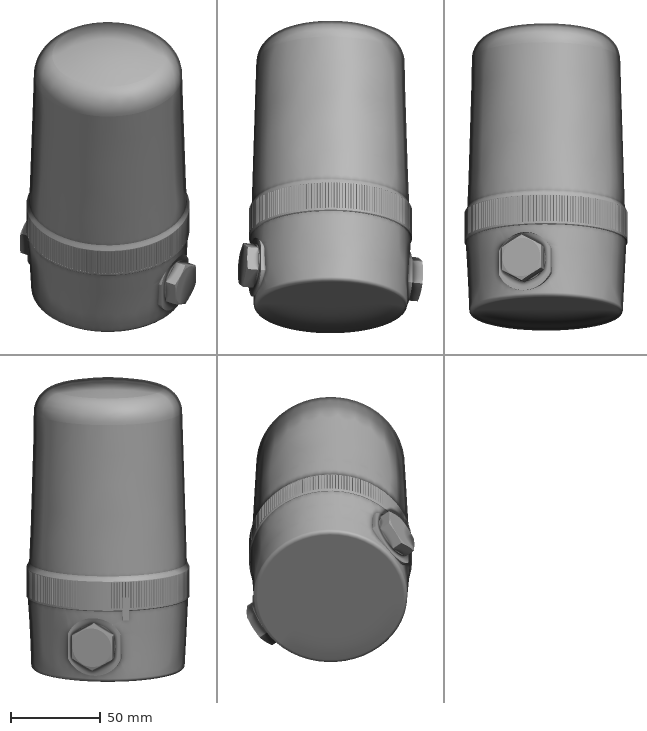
import cadquery as cq
import math

base_bottom_radius = 43.1
base_top_radius = 45.1
base_edge_round = 2.1

ring_bottom = 41.0
ring_shoulder = 58.0
ring_top = 60.8
ring_diameter = 91.7
ring_radius = ring_diameter / 2
ring_edge = 0.5

total_height = 164.0
dome_bottom_radius = 44.3
shoulder_bottom = 146.8
shoulder_bottom_radius = 41.7
cap_edge_height = 160.0
cap_edge_radius = 31.3

groove_count = 168
groove_bottom = 42.6
groove_top = 57.7
groove_depth = 0.5
groove_width = 0.5
groove_overcut = 0.05
smooth_half_angle = 12.5

mark_angle = 202.8
mark_bottom = 35.7
mark_top = 48.9
mark_width = 3.6
mark_radius = 45.9
mark_inner_radius = 41.0

entry_turns = (0, 180)
plug_height = 21.2
seat_height = 20.3
seat_diameter = 33.1
seat_width = 30.0
seat_x = 43.6
seat_root_x = 36.0
collar_diameter = 24.5
plug_inner_x = 44.5
plug_outer_x = 50.8
plug_sides = 6
plug_across_flats = 22.8
plug_face_diameter = 22.0
plug_chamfer_length = 0.5
seat_relief_length = 8.2


def make_body():
    cap_sag = total_height - cap_edge_height
    cap_radius = (cap_edge_radius**2 + cap_sag**2) / (2 * cap_sag)
    half_cap_angle = math.asin(cap_edge_radius / cap_radius) / 2
    cap_mid = (
        cap_radius * math.sin(half_cap_angle),
        total_height - cap_radius * (1 - math.cos(half_cap_angle)),
    )
    profile = (
        cq.Workplane("XZ")
        .lineTo(base_bottom_radius - base_edge_round, 0)
        .radiusArc((base_bottom_radius, base_edge_round), -base_edge_round)
        .lineTo(base_top_radius, ring_bottom)
        .lineTo(ring_radius - ring_edge, ring_bottom)
        .lineTo(ring_radius, ring_bottom + ring_edge)
        .lineTo(ring_radius, ring_shoulder)
        .lineTo(dome_bottom_radius, ring_top)
        .lineTo(shoulder_bottom_radius, shoulder_bottom)
        .tangentArcPoint((cap_edge_radius, cap_edge_height), relative=False)
        .threePointArc(cap_mid, (0, total_height))
        .close()
    )
    return profile.revolve(360, (0, 0, 0), (0, 1, 0))


def make_grooves():
    half_angle = math.degrees(groove_width / 2 / ring_radius)
    mouth_radius = ring_radius + groove_overcut
    grooves = cq.Workplane("XY").workplane(offset=groove_bottom)

    def on_circle(radius, degrees):
        angle = math.radians(degrees)
        return (radius * math.cos(angle), radius * math.sin(angle))

    groove_pitch = (360 - 2 * smooth_half_angle) / (groove_count - 1)
    first_angle = smooth_half_angle - 180
    for index in range(groove_count):
        angle = first_angle + index * groove_pitch
        corners = [
            on_circle(mouth_radius, angle - half_angle),
            on_circle(ring_radius - groove_depth, angle),
            on_circle(mouth_radius, angle + half_angle),
        ]
        grooves = grooves.polyline(corners).close()
    return grooves.extrude(groove_top - groove_bottom)


def make_index_mark():
    return (
        cq.Workplane("XY")
        .box(
            mark_radius - mark_inner_radius,
            mark_width,
            mark_top - mark_bottom,
            centered=(False, True, False),
        )
        .translate((mark_inner_radius, 0, mark_bottom))
        .rotate((0, 0, 0), (0, 0, 1), mark_angle)
    )


def entry_plane(x, height):
    return cq.Workplane("YZ", origin=(x, 0, height))


def make_seat(x, length):
    disc = entry_plane(x, seat_height).circle(seat_diameter / 2).extrude(length)
    strip = entry_plane(x, seat_height).rect(seat_width, seat_diameter).extrude(length)
    return disc.intersect(strip)


def make_plug():
    across_corners = plug_across_flats / math.cos(math.pi / plug_sides)
    plug_length = plug_outer_x - plug_inner_x
    plug = (
        entry_plane(plug_inner_x, plug_height)
        .transformed(rotate=(0, 0, 90))
        .polygon(plug_sides, across_corners)
        .extrude(plug_length)
    )
    chamfer_cone = (
        entry_plane(plug_outer_x - plug_chamfer_length, plug_height)
        .circle(across_corners / 2)
        .workplane(offset=plug_chamfer_length)
        .circle(plug_face_diameter / 2)
        .loft()
    )
    straight_part = (
        entry_plane(plug_inner_x, plug_height)
        .circle(across_corners / 2)
        .extrude(plug_length - plug_chamfer_length)
    )
    plug = plug.intersect(straight_part.union(chamfer_cone))
    collar = (
        entry_plane(seat_root_x, plug_height)
        .circle(collar_diameter / 2)
        .extrude(plug_inner_x - seat_root_x)
    )
    return collar.union(plug)


def add_entry(body, turn):
    def place(shape):
        return shape.rotate((0, 0, 0), (0, 0, 1), turn)

    body = body.union(place(make_seat(seat_root_x, seat_x - seat_root_x)))
    body = body.cut(place(make_seat(seat_x, seat_relief_length)))
    return body.union(place(make_plug()))


result = make_body().union(make_index_mark()).cut(make_grooves())
for turn in entry_turns:
    result = add_entry(result, turn)